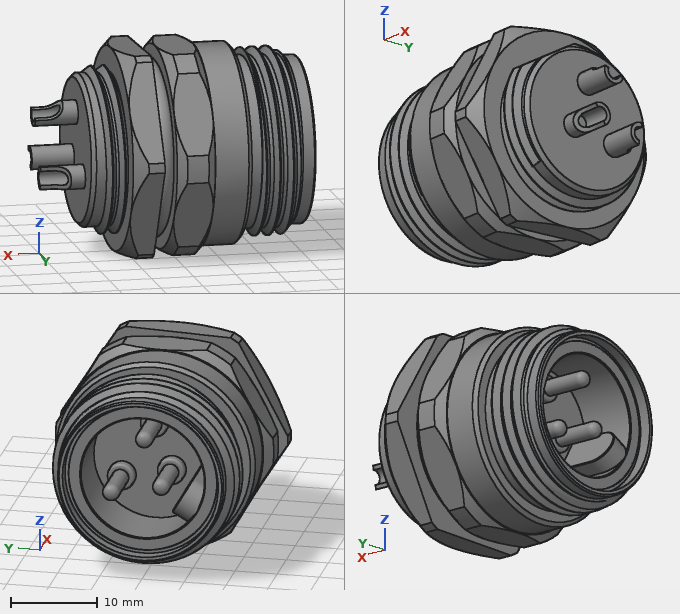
import cadquery as cq
import math


NOSE_SHOULDER_X = 1.55
NOSE_THREAD_END_X = 6.5
FLANGE_X = 7.97
HEX_X = 12.45
HEX_END_X = 17.0
NUT_X = 18.8
NUT_END_X = 22.25
BARREL_END_X = 26.45
TOTAL_LENGTH = 31.5

NOSE_R = 9.85
NOSE_CORE_R = 10.15
NOSE_CREST_R = 11.02
FLANGE_R = 11.85
HEX_APOTHEM = 11.97
HEX_CORNER_R = 12.98
NUT_CORNER_R = 27.0 / 2
BARREL_R = 9.0
BARREL_CREST_R = 9.92

NOSE_CHAMFER = 0.2
FLANGE_CHAMFER = 0.47
BARREL_CHAMFER = 0.5

RING_OUTER_R = 10.7
RING_SECTION_R = 1.05

NUT_TURN = 2.2

NOSE_PITCH = 1.6
NOSE_CREST_X = 2.9
NOSE_LEAD_TURNS = 2
NOSE_RIDGE_TURNS = 6
BARREL_PITCH = 1.5
BARREL_CREST_X = 22.68
BARREL_FULL_TURNS = 2
BARREL_RUNOUT_ANGLE = 225.0
CREST_WIDTH = 0.13
THREAD_HALF_ANGLE = 30.0
THREAD_OVERLAP = 0.15

FLAT_DISTANCE = 8.8
FLAT_ANGLE = 120.0

MOUTH_R = 9.25
LEDGE_X = 1.45
INSERT_R = 8.82
INSERT_X = 1.25
SOCKET_R = 7.35
SOCKET_CHAMFER = 0.13
FLOOR_X = 8.5

KEY_ANGLE = 210.0
KEY_INNER_R = 4.95
KEY_CHAMFER = 0.1
KEY_ROOT_DEPTH = 0.3
KEY_WIDTH = 4.72
KEY_TIP_X = 1.3

PIN_R = 0.98
PIN_TIP_X = 1.25
PIN_TIP_FILLET = 0.82
COLLAR_R = 1.6
COLLAR_X = 7.3
COLLAR_FILLET = 0.3
OUTER_PIN_CIRCLE_R = 4.55
INNER_PIN_CIRCLE_R = 2.33
CUP_R = 1.42
CUP_BORE_R = 0.88
CUP_BORE_X = 27.72
SCOOP_R = 2.05
SCOOP_END_X = 30.08
CONTACTS = [
    (OUTER_PIN_CIRCLE_R, 90.0, 70.0),
    (OUTER_PIN_CIRCLE_R, -30.0, -10.0),
    (INNER_PIN_CIRCLE_R, 210.0, 210.0),
]


def revolve_x(points):
    """Revolve a closed (x, radius) outline about the X axis."""
    return cq.Workplane("XY").polyline(points).close().revolve(360, (0, 0, 0), (1, 0, 0))


def rod(x_start, x_end, radius, y=0.0, z=0.0):
    """Round bar parallel to X."""
    return cq.Workplane("YZ", origin=(x_start, y, z)).circle(radius).extrude(x_end - x_start)


def turn(shape, angle):
    """Turn a shape about the X axis, from +Y toward +Z."""
    return shape.rotate((0, 0, 0), (1, 0, 0), angle)


def hexagon(x_start, x_end):
    """Hexagonal prism with a corner on +Y."""
    across_corners = 2 * HEX_APOTHEM / math.cos(math.radians(30))
    return cq.Workplane("YZ", origin=(x_start, 0, 0)).polygon(6, across_corners).extrude(x_end - x_start)


def thread_ridge(core_r, crest_r, pitch, x_start, turns):
    """Right-hand helical ridge about X whose crest starts at x_start on +Y."""
    root_r = core_r - THREAD_OVERLAP
    half_crest = CREST_WIDTH / 2
    half_root = half_crest + (crest_r - root_r) * math.tan(math.radians(THREAD_HALF_ANGLE))
    path = cq.Wire.makeHelix(pitch, pitch * turns, core_r)
    profile = [(root_r, -half_root), (crest_r, -half_crest), (crest_r, half_crest), (root_r, half_root)]
    ridge = cq.Workplane("XZ").polyline(profile).close().sweep(cq.Workplane(obj=path), isFrenet=True)
    return ridge.rotate((0, 0, 0), (1, 1, 1), 120).translate((x_start, 0, 0))


def make_body():
    return revolve_x([
        (0, 0),
        (0, NOSE_R - NOSE_CHAMFER),
        (NOSE_CHAMFER, NOSE_R),
        (NOSE_SHOULDER_X, NOSE_R),
        (NOSE_SHOULDER_X + NOSE_CORE_R - NOSE_R, NOSE_CORE_R),
        (FLANGE_X, NOSE_CORE_R),
        (FLANGE_X, FLANGE_R - FLANGE_CHAMFER),
        (FLANGE_X + FLANGE_CHAMFER, FLANGE_R),
        (HEX_X, FLANGE_R),
        (HEX_X, BARREL_R),
        (BARREL_END_X - BARREL_CHAMFER, BARREL_R),
        (BARREL_END_X, BARREL_R - BARREL_CHAMFER),
        (BARREL_END_X, 0),
    ])


def make_nose_thread():
    """Nose thread, tapered by a 45 degree lead-in and cut square at its end."""
    first_x = NOSE_CREST_X - NOSE_LEAD_TURNS * NOSE_PITCH
    ridge = thread_ridge(NOSE_CORE_R, NOSE_CREST_R, NOSE_PITCH, first_x, NOSE_RIDGE_TURNS)
    limit_r = NOSE_CREST_R + THREAD_OVERLAP
    limits = revolve_x([
        (NOSE_SHOULDER_X, 0),
        (NOSE_SHOULDER_X, NOSE_R),
        (NOSE_SHOULDER_X + limit_r - NOSE_R, limit_r),
        (NOSE_THREAD_END_X, limit_r),
        (NOSE_THREAD_END_X, 0),
    ])
    return ridge.intersect(limits)


def make_barrel_thread():
    """Rear thread, starting hidden inside the nut."""
    turns = BARREL_FULL_TURNS + BARREL_RUNOUT_ANGLE / 360
    return thread_ridge(BARREL_R, BARREL_CREST_R, BARREL_PITCH, BARREL_CREST_X - BARREL_PITCH, turns)


def make_body_hex():
    """Body hexagon with 45 degree turned corners on both faces."""
    bevel = HEX_CORNER_R - HEX_APOTHEM
    envelope = rod(HEX_X, HEX_END_X, HEX_CORNER_R).faces("<X or >X").chamfer(bevel)
    return hexagon(HEX_X, HEX_END_X).intersect(envelope)


def make_nut():
    """Lock nut with 45 degree turned corners on its rear face only."""
    bevel = NUT_CORNER_R - HEX_APOTHEM
    envelope = rod(NUT_X, NUT_END_X, NUT_CORNER_R).faces(">X").chamfer(bevel)
    return turn(hexagon(NUT_X, NUT_END_X), NUT_TURN).intersect(envelope)


def make_ring():
    """O-ring whose round section bulges out between the hexagon and the nut."""
    center_x = (HEX_END_X + NUT_X) / 2
    half_gap = (NUT_X - HEX_END_X) / 2
    side_r = RING_OUTER_R - RING_SECTION_R + math.sqrt(RING_SECTION_R**2 - half_gap**2)
    inner_r = BARREL_R - THREAD_OVERLAP
    outline = (
        cq.Workplane("XY")
        .moveTo(HEX_END_X, inner_r)
        .lineTo(HEX_END_X, side_r)
        .threePointArc((center_x, RING_OUTER_R), (NUT_X, side_r))
        .lineTo(NUT_X, inner_r)
        .close()
    )
    return outline.revolve(360, (0, 0, 0), (1, 0, 0))


def make_barrel_flat():
    """Block that cuts the flat along the barrel behind the O-ring."""
    length = BARREL_END_X - NUT_X
    depth = BARREL_CREST_R
    width = 2 * BARREL_CREST_R
    block = cq.Workplane("XY").box(length, depth, width, centered=(False, False, True))
    return turn(block.translate((NUT_X, FLAT_DISTANCE, 0)), FLAT_ANGLE)


def make_socket():
    """Mouth, ledge around the raised insert rim, and main bore of the socket."""
    return revolve_x([
        (0, 0),
        (0, MOUTH_R),
        (LEDGE_X, MOUTH_R),
        (LEDGE_X, INSERT_R),
        (INSERT_X, INSERT_R),
        (INSERT_X, SOCKET_R + SOCKET_CHAMFER),
        (INSERT_X + SOCKET_CHAMFER, SOCKET_R),
        (FLOOR_X, SOCKET_R),
        (FLOOR_X, 0),
    ])


def make_key():
    """Radial key with a round tip facing the mouth, rooted in the floor."""
    half_width = KEY_WIDTH / 2
    root_x = FLOOR_X + KEY_ROOT_DEPTH
    outer_r = (SOCKET_R + INSERT_R) / 2
    outline = (
        cq.Workplane("XZ", origin=(0, KEY_INNER_R, 0))
        .moveTo(root_x, -half_width)
        .lineTo(KEY_TIP_X + half_width, -half_width)
        .threePointArc((KEY_TIP_X, 0), (KEY_TIP_X + half_width, half_width))
        .lineTo(root_x, half_width)
        .close()
    )
    key = outline.extrude(KEY_INNER_R - outer_r).faces("<Y").chamfer(KEY_CHAMFER)
    return turn(key, KEY_ANGLE)


def make_pin(y, z):
    """Rounded contact pin rising from a collar on the socket floor."""
    pin = rod(PIN_TIP_X, FLOOR_X, PIN_R, y, z).faces("<X").edges().fillet(PIN_TIP_FILLET)
    collar = rod(COLLAR_X, FLOOR_X, COLLAR_R, y, z).faces("<X").edges().fillet(COLLAR_FILLET)
    return pin.union(collar)


def make_cup(y, z, open_angle):
    """Solder cup: bored bar scooped open on one side toward its end."""
    bar = rod(BARREL_END_X, TOTAL_LENGTH, CUP_R).cut(rod(CUP_BORE_X, TOTAL_LENGTH, CUP_BORE_R))
    removed = (
        cq.Workplane("XY", origin=(0, 0, -CUP_R))
        .moveTo(TOTAL_LENGTH, 0)
        .lineTo(SCOOP_END_X, 0)
        .radiusArc((SCOOP_END_X - SCOOP_R, SCOOP_R), SCOOP_R)
        .lineTo(TOTAL_LENGTH, SCOOP_R)
        .close()
        .extrude(2 * CUP_R)
    )
    return turn(bar.cut(removed), open_angle).translate((0, y, z))


result = make_body().union(make_barrel_thread()).cut(make_barrel_flat())
result = result.union(make_nose_thread()).union(make_body_hex()).union(make_ring()).union(make_nut())
result = result.cut(make_socket()).union(make_key())
for circle_r, angle, open_angle in CONTACTS:
    pin_y = circle_r * math.cos(math.radians(angle))
    pin_z = circle_r * math.sin(math.radians(angle))
    result = result.union(make_pin(pin_y, pin_z)).union(make_cup(pin_y, pin_z, open_angle))